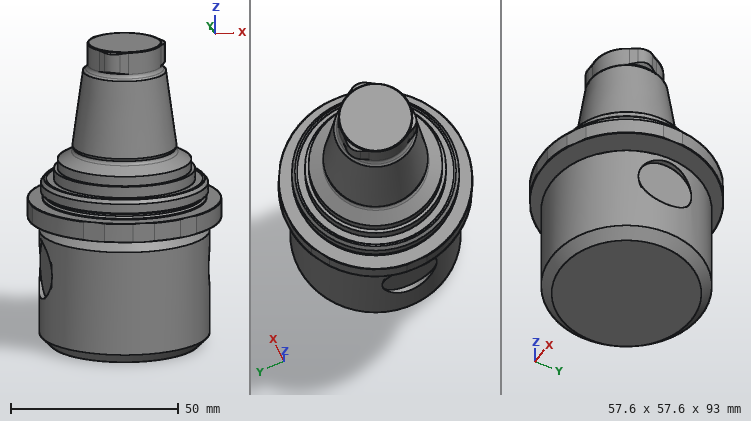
import cadquery as cq
import math

body_top = 35.0
flange_bottom = 39.0
flange_top = 44.8
collar_top = 50.9
step_top = 54.0
shoulder_bottom = 56.9
shoulder_top = 59.2
cone_bottom = 61.2
cone_top = 84.35
nose_bottom = 86.2
total_height = 93.0

body_diameter = 51.1
body_radius = body_diameter / 2
flange_radius = 29.0
collar_radius = 25.0
step_radius = 21.1
shoulder_radius = 20.0
cone_bottom_radius = 15.6
cone_top_radius = 12.5
neck_radius = 15.25
nose_radius = 11.1
body_top_radius = body_radius - (flange_bottom - body_top)

bottom_chamfer = 3.2
flange_chamfer = 0.2
collar_chamfer_width = 0.9
collar_chamfer_height = 1.1
collar_bottom = 47.0
collar_recess_radius = 23.4
collar_recess_depth = 0.2
groove_lip_height = 46.6
groove_lip_radius = 24.2
groove_ceiling = 46.3
groove_floor = 45.8
groove_radius = 23.8
groove_lower_radius = 24.55
groove_lower_height = 45.2
neck_groove_height = 60.4
cone_edge_height = 0.65
cone_edge_radius = 11.7
shoulder_top_radius = 15.9
neck_root_bulge = 0.2
nose_root_bulge = 0.14

flat_distance = 28.8
flat_angles = [0, 60, 90, 120, 180, 240, 270, 300]

recess_radius = 9.0
recess_height = 24.2
recess_floor = math.sqrt(body_radius**2 - recess_radius**2)

lobe_count = 3
lobe_tip = 12.3
lobe_shoulder = (11.5, 2.4)
lobe_root_angle = 24.6
lobe_bottom = 86.9
lobe_top = 92.4
nose_chamfer = 0.3


def concave_midpoint(start, end, bulge):
    """Middle point of an arc that sags by the bulge toward the axis and downward."""
    dx = end[0] - start[0]
    dz = end[1] - start[1]
    length = math.hypot(dx, dz)
    mid_x = (start[0] + end[0]) / 2
    mid_z = (start[1] + end[1]) / 2
    return (mid_x - bulge * abs(dz) / length, mid_z - bulge * abs(dx) / length)


def make_turned_body():
    """Revolve the stepped outline around Z, from the bottom face to the nose root."""
    lower_outline = [
        (0, 0),
        (body_radius - bottom_chamfer, 0),
        (body_radius, bottom_chamfer),
        (body_radius, body_top),
        (body_top_radius, flange_bottom),
        (flange_radius - flange_chamfer, flange_bottom),
        (flange_radius, flange_bottom + flange_chamfer),
        (flange_radius, flange_top - flange_chamfer),
        (flange_radius - flange_chamfer, flange_top),
        (groove_lower_radius, flange_top),
        (groove_lower_radius, groove_lower_height),
        (groove_radius, groove_floor),
        (groove_radius, groove_ceiling),
        (groove_lip_radius, groove_lip_height),
        (collar_radius, collar_bottom),
        (collar_radius, collar_top - collar_chamfer_height),
        (collar_radius - collar_chamfer_width, collar_top),
        (collar_recess_radius, collar_top),
        (collar_recess_radius, collar_top - collar_recess_depth),
        (step_radius, collar_top - collar_recess_depth),
        (step_radius, step_top),
        (shoulder_radius, step_top),
        (shoulder_radius, shoulder_bottom),
    ]
    shoulder_edge = (shoulder_top_radius, shoulder_top)
    neck_edge = (neck_radius, neck_groove_height)
    cone_edge = (cone_edge_radius, cone_top + cone_edge_height)
    nose_root = (nose_radius, nose_bottom)
    outline = (
        cq.Workplane("XZ")
        .polyline(lower_outline + [shoulder_edge])
        .threePointArc(concave_midpoint(shoulder_edge, neck_edge, neck_root_bulge), neck_edge)
        .lineTo(cone_bottom_radius, cone_bottom)
        .lineTo(cone_top_radius, cone_top)
        .lineTo(*cone_edge)
        .threePointArc(concave_midpoint(cone_edge, nose_root, nose_root_bulge), nose_root)
        .lineTo(0, nose_bottom)
        .close()
    )
    return outline.revolve(360, (0, 0, 0), (0, 1, 0))


def make_flat_cutter(angle):
    """Block that trims the flange to a flat facing the given angle."""
    depth = flange_radius - flat_distance
    return (
        cq.Workplane("XY", origin=(0, 0, flange_bottom))
        .center(flat_distance + depth / 2, 0)
        .rect(depth, flange_radius)
        .extrude(flange_top - flange_bottom)
        .rotate((0, 0, 0), (0, 0, 1), angle)
    )


def make_recess_cutter(side):
    """Round cutter along X; side is 1 for +X and -1 for -X."""
    return (
        cq.Workplane("YZ", origin=(side * recess_floor, 0, recess_height))
        .circle(recess_radius)
        .extrude(side * (body_radius - recess_floor))
    )


def make_lobe(angle):
    """Cam lobe with straight flanks and a rounded tip, pointing at the given angle."""
    root_x = nose_radius * math.cos(math.radians(lobe_root_angle))
    root_y = nose_radius * math.sin(math.radians(lobe_root_angle))
    shoulder_x, shoulder_y = lobe_shoulder
    return (
        cq.Workplane("XY", origin=(0, 0, nose_bottom))
        .lineTo(root_x, -root_y)
        .lineTo(shoulder_x, -shoulder_y)
        .threePointArc((lobe_tip, 0), (shoulder_x, shoulder_y))
        .lineTo(root_x, root_y)
        .close()
        .extrude(total_height - nose_bottom)
        .rotate((0, 0, 0), (0, 0, 1), angle)
    )


def make_nose():
    """Round nose with lobes, beveled at the top and bottom by a turned envelope."""
    nose = cq.Workplane("XY", origin=(0, 0, nose_bottom)).circle(nose_radius)
    nose = nose.extrude(total_height - nose_bottom)
    for index in range(lobe_count):
        nose = nose.union(make_lobe(index * 360 / lobe_count))
    envelope_profile = [
        (0, nose_bottom),
        (nose_radius, nose_bottom),
        (lobe_tip, lobe_bottom),
        (lobe_tip, lobe_top),
        (nose_radius, total_height - nose_chamfer),
        (nose_radius - nose_chamfer, total_height),
        (0, total_height),
    ]
    envelope = cq.Workplane("XZ").polyline(envelope_profile).close()
    return nose.intersect(envelope.revolve(360, (0, 0, 0), (0, 1, 0)))


result = make_turned_body()
for flat_angle in flat_angles:
    result = result.cut(make_flat_cutter(flat_angle))
for recess_side in (1, -1):
    result = result.cut(make_recess_cutter(recess_side))
result = result.union(make_nose())